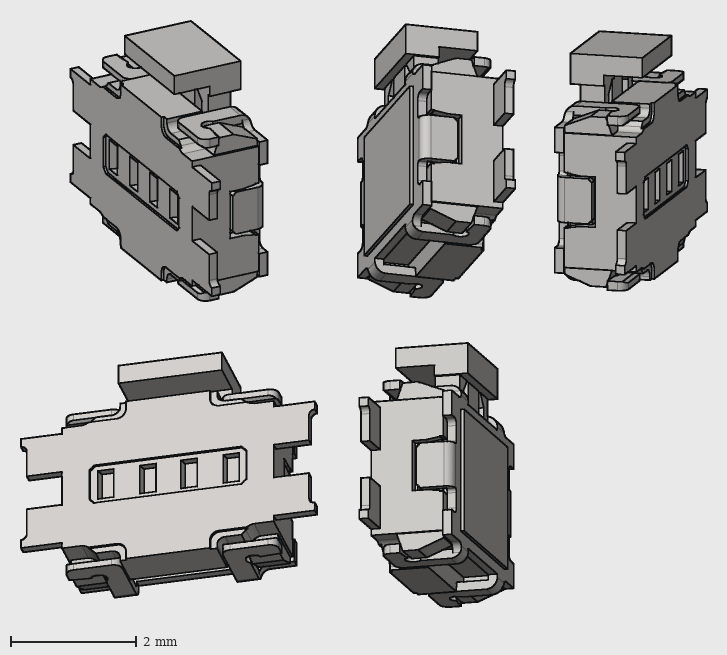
import cadquery as cq

housing_half_width = 1.745
housing_half_height = 1.1
housing_depth = 1.2
block_half_width = 0.8
block_half_height = 1.44
block_depth = 0.68
shelf_height = 1.245
shelf_corner_radius = 0.13
shelf_end = 1.205
ramp_end = 1.275
ramp_foot = 1.42
ramp_arc_diameter = 0.5
ramp_arc_radius = ramp_arc_diameter / 2
step_depth = 0.045
step_start = 0.695
step_height = 1.145
step_corner_radius = 0.155

wedge_inner = 1.205
wedge_outer = 1.705
wedge_top = 1.385
wedge_low_top = 1.215
wedge_top_back = 0.77
wedge_top_front = 0.515
wedge_foot_front = 0.41

leg_thickness = 0.15
leg_bottom = 0.3
leg_top = 1.0
leg_root = 1.65
leg_side = 2.33
leg_tip = 2.425
leg_tip_height = 0.145

window_half_width = 1.295
window_half_height = 0.345
window_depth = 0.045
window_chamfer = 0.082
slot_centres = (0.34, 1.035)
slot_width = 0.265
slot_half_height = 0.255
slot_depth = 0.13
slot_taper = 0.0365

sheet = 0.15
cover_back = housing_depth + sheet
cover_half_width = 1.775
cover_half_height = 1.19
cover_top = 1.425
strap_inner = 0.83
strap_outer = 1.195
strap_bend_radius = 0.185
strap_root_radius = 0.145
hook_outer = 1.75
hook_front = 0.17
hook_back_tip = 0.48
hook_back_root = 0.505
hook_corner_radius = 0.145
hook_bevel_depth = 0.065
hook_bevel_height = 0.04
relief_radius = 0.13
relief_x = 1.275
relief_y = 0.565

clip_half_height = 0.37
clip_front = 0.745
clip_chamfer = 0.06
clip_outer = 1.72
notch_side = 1.505
notch_radius = 0.1
notch_top = 0.78
notch_bottom = 0.425
recess_half_height = 0.41
recess_front = 0.685
recess_mouth_half_height = 0.455
recess_mouth_front = 1.145
recess_mouth_extra_depth = 0.05
recess_taper_half_height = 0.445
recess_taper_start = 0.92

passage_front = 0.728
passage_back = 0.78

pad_half_width = 1.25
pad_half_height = 1.005
pad_back = 1.4

cap_half_width = 0.855
cap_top = 2.2
cap_underside = 1.875
cap_front = 0.15
cap_heel_bottom = 1.7
stem_half_width = 0.795
stem_front = 0.79
stem_back = 1.2
column_half_width = 0.3
column_setback = 0.02
groove_half_width = 0.255
prong_foot_inner = 0.58
prong_root_inner = 0.375
prong_knee = 1.505


def box(x_range, y_range, z_range):
    """Box between the given limits along each axis."""
    (x0, x1), (y0, y1), (z0, z1) = x_range, y_range, z_range
    return cq.Workplane("XY").box(x1 - x0, y1 - y0, z1 - z0, centered=False).translate((x0, y0, z0))


def front_sketch(y=0.0):
    """Workplane in X and Z at depth y; a negative extrusion runs towards +Y."""
    return cq.Workplane("XZ", origin=(0, y, 0))


def mirror_both_ways(quarter):
    """Whole shape from its +X, +Z quarter."""
    half = quarter.union(quarter.mirror("YZ"))
    return half.union(half.mirror("XY"))


def housing_body():
    body = box((0, housing_half_width), (0, housing_depth), (0, housing_half_height))
    raised = box((0, block_half_width), (0, block_depth), (0, block_half_height))
    ramp_bottom = shelf_height - (ramp_end - shelf_end)
    shelf = (
        front_sketch()
        .moveTo(0, 0)
        .lineTo(ramp_foot, 0)
        .lineTo(ramp_foot, housing_half_height)
        .radiusArc((ramp_end, ramp_bottom), ramp_arc_radius)
        .lineTo(shelf_end, shelf_height)
        .lineTo(block_half_width + shelf_corner_radius, shelf_height)
        .radiusArc((block_half_width, shelf_height + shelf_corner_radius), shelf_corner_radius)
        .lineTo(0, shelf_height + shelf_corner_radius)
        .close()
        .extrude(-block_depth)
    )
    step = box((step_start, housing_half_width), (0, step_depth), (step_height, block_half_height))
    step = step.edges("|Y and <X and <Z").fillet(step_corner_radius)
    return body.union(raised).union(shelf).cut(step)


def wedge():
    return (
        cq.Workplane("YZ", origin=(wedge_inner, 0, 0))
        .polyline(
            [
                (wedge_foot_front, housing_half_height),
                (wedge_top_front, wedge_top),
                (wedge_top_back, wedge_top),
                (housing_depth, wedge_low_top),
                (housing_depth, 0),
                (wedge_foot_front, 0),
            ]
        )
        .close()
        .extrude(wedge_outer - wedge_inner)
    )


def leg():
    tip_radius = leg_tip - leg_side
    tip_bottom = leg_top - leg_tip_height
    return (
        front_sketch()
        .moveTo(leg_root, leg_bottom)
        .lineTo(leg_side, leg_bottom)
        .lineTo(leg_side, tip_bottom - tip_radius)
        .radiusArc((leg_tip, tip_bottom), tip_radius)
        .lineTo(leg_tip, leg_top)
        .lineTo(leg_root, leg_top)
        .close()
        .extrude(-leg_thickness)
    )


def side_recess():
    """Pocket in the housing side that takes the cover clip."""
    floor = clip_outer - sheet
    pocket = (
        cq.Workplane("YZ", origin=(floor, 0, 0))
        .polyline(
            [
                (recess_front, 0),
                (recess_front, recess_half_height),
                (recess_taper_start, recess_half_height),
                (recess_mouth_front, recess_taper_half_height),
                (recess_mouth_front, 0),
            ]
        )
        .close()
        .extrude(housing_half_width - floor)
    )
    mouth = box(
        (floor - recess_mouth_extra_depth, housing_half_width),
        (recess_mouth_front, housing_depth),
        (0, recess_mouth_half_height),
    )
    return pocket.union(mouth)


def cover_plate():
    root_end = strap_outer + strap_root_radius
    return (
        front_sketch(housing_depth)
        .moveTo(0, 0)
        .lineTo(notch_side, 0)
        .lineTo(notch_side, notch_top - notch_radius)
        .radiusArc((notch_side + notch_radius, notch_top), notch_radius)
        .lineTo(cover_half_width, notch_top)
        .lineTo(cover_half_width, cover_half_height)
        .lineTo(root_end, cover_half_height)
        .radiusArc((strap_outer, cover_half_height + strap_root_radius), strap_root_radius)
        .lineTo(strap_outer, cover_top)
        .lineTo(strap_inner, cover_top)
        .lineTo(strap_inner, cover_half_height)
        .lineTo(0, cover_half_height)
        .close()
        .extrude(-sheet)
    )


def cover_hook():
    """Strap folded over the housing, ending in an outward hook."""
    strap_bottom = cover_top - sheet
    hook = (
        cq.Workplane("XY", origin=(0, 0, strap_bottom))
        .polyline(
            [
                (strap_inner, cover_back),
                (strap_inner, hook_front),
                (hook_outer, hook_front),
                (hook_outer, hook_back_tip),
                (relief_x + relief_radius, hook_back_root),
                (strap_outer, hook_back_root),
                (strap_outer, cover_back),
            ]
        )
        .close()
        .extrude(sheet)
        .edges("|Z and <Y")
        .fillet(hook_corner_radius)
    )
    relief = (
        cq.Workplane("XY", origin=(relief_x, relief_y, strap_bottom)).circle(relief_radius).extrude(sheet)
    )
    bevel = (
        cq.Workplane("YZ", origin=(strap_inner, 0, 0))
        .polyline(
            [
                (hook_front, strap_bottom),
                (hook_front + hook_bevel_depth, strap_bottom),
                (hook_front, strap_bottom + hook_bevel_height),
            ]
        )
        .close()
        .extrude(hook_outer - strap_inner)
    )
    return hook.cut(relief).cut(bevel)


def cover_clip():
    """Upper half of the tab folded forward into the housing side."""
    clip = box((clip_outer - sheet, clip_outer), (clip_front, cover_back), (0, clip_half_height))
    clip = clip.edges("|X and <Y and >Z").chamfer(clip_chamfer)
    clip = clip.union(box((0, clip_outer), (housing_depth, cover_back), (0, clip_half_height)))
    clip = clip.edges("|Z and >X and >Y").fillet(sheet)
    root_height = notch_bottom - clip_half_height
    root = (
        front_sketch(housing_depth)
        .moveTo(notch_side, clip_half_height)
        .lineTo(notch_side + root_height, clip_half_height)
        .radiusArc((notch_side, notch_bottom), root_height)
        .close()
        .extrude(-sheet)
    )
    return clip.union(root)


def cover():
    folded = cover_plate().union(cover_hook())
    folded = folded.edges("|X and >Z and >Y").fillet(strap_bend_radius)
    pad = box((0, pad_half_width), (cover_back, pad_back), (0, pad_half_height))
    return folded.union(cover_clip()).union(pad)


def window():
    recess = box(
        (-window_half_width, window_half_width), (0, window_depth), (-window_half_height, window_half_height)
    )
    recess = recess.edges("|Y").chamfer(window_chamfer)
    top = slot_width / 2
    floor = top - slot_taper
    for side in (-1, 1):
        for centre in slot_centres:
            slot = (
                cq.Workplane("XY", origin=(side * centre, window_depth, -slot_half_height))
                .polyline([(-top, 0), (top, 0), (floor, slot_depth), (-floor, slot_depth)])
                .close()
                .extrude(2 * slot_half_height)
            )
            recess = recess.union(slot)
    return recess


def passage():
    across = (-cover_half_width, cover_half_width)
    back_top = clip_half_height - clip_chamfer
    front_part = box(across, (passage_front, clip_front), (-recess_half_height, recess_half_height))
    back_part = box(across, (clip_front, passage_back), (-recess_half_height, back_top))
    return front_part.union(back_part)


def button():
    cap = box((-cap_half_width, cap_half_width), (cap_front, cover_back), (cap_underside, cap_top))
    heel = box((-cap_half_width, cap_half_width), (stem_front, cover_back), (cap_heel_bottom, cap_underside))
    groove_back = stem_front + column_setback
    groove = box(
        (-groove_half_width, groove_half_width), (stem_front, groove_back), (cap_heel_bottom, cap_underside)
    )
    column = box(
        (-column_half_width, column_half_width), (groove_back, stem_back), (0, cap_heel_bottom)
    )
    prong = (
        front_sketch(stem_front)
        .polyline(
            [
                (stem_half_width, housing_half_height),
                (stem_half_width, cap_heel_bottom),
                (prong_root_inner, cap_heel_bottom),
                (prong_foot_inner, prong_knee),
                (prong_foot_inner, housing_half_height),
            ]
        )
        .close()
        .extrude(stem_front - stem_back)
    )
    return cap.union(heel).cut(groove).union(column).union(prong).union(prong.mirror("YZ"))


housing_quarter = housing_body().union(wedge()).cut(side_recess()).union(leg())
housing = mirror_both_ways(housing_quarter).cut(window()).cut(passage())
result = housing.union(mirror_both_ways(cover())).union(button())